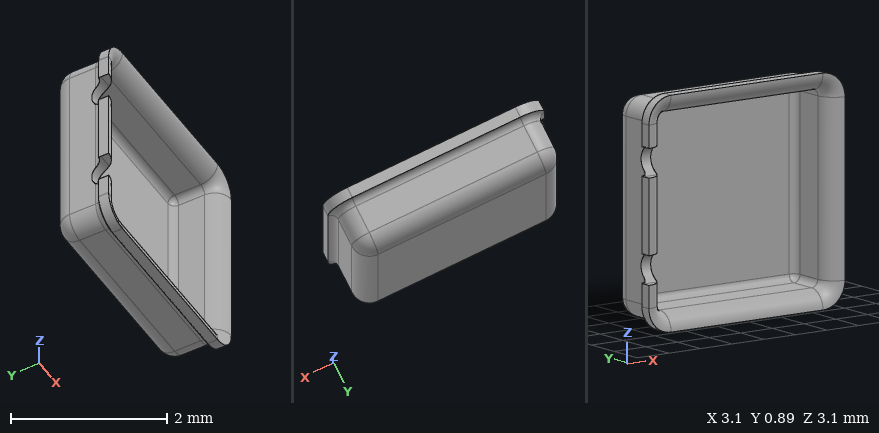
import cadquery as cq
import math

side = 3.1
depth = 0.89
sheet = 0.152
inner_bend = 0.1
notch_width = 0.388
notch_depth = 0.31
notch_offset = 0.7

outer_bend = inner_bend + sheet
rim_radius = outer_bend + inner_bend
half_flat = side / 2 - rim_radius
flat = 2 * half_flat


def arc_middle(center_x, center_y, radius, angle):
    """Point on a circle, used as the middle of a quarter arc."""
    a = math.radians(angle)
    return (center_x + radius * math.cos(a), center_y + radius * math.sin(a))


def wall_profile():
    """Wall section in XY: X is the distance out from the flat floor, Y runs from rim to floor."""
    floor_bend_y = depth - outer_bend
    return (
        cq.Workplane("XY")
        .moveTo(0, depth)
        .lineTo(0, depth - sheet)
        .threePointArc(arc_middle(0, floor_bend_y, inner_bend, 45), (inner_bend, floor_bend_y))
        .lineTo(inner_bend, outer_bend)
        .threePointArc(arc_middle(rim_radius, outer_bend, outer_bend, 225), (rim_radius, 0))
        .lineTo(rim_radius, sheet)
        .threePointArc(arc_middle(rim_radius, outer_bend, inner_bend, 225), (outer_bend, outer_bend))
        .lineTo(outer_bend, floor_bend_y)
        .threePointArc(arc_middle(0, floor_bend_y, outer_bend, 45), (0, depth))
        .close()
    )


def wall_and_corner():
    """The +X wall and the +X, +Z corner that follows it."""
    wall = wall_profile().extrude(flat).translate((half_flat, 0, -half_flat))
    corner = (
        wall_profile()
        .revolve(90, (0, 0, 0), (0, -1, 0))
        .translate((half_flat, 0, half_flat))
    )
    return wall.union(corner)


def notch(z):
    """Round-ended notch cutter through the -X wall."""
    radius = notch_width / 2
    end_y = notch_depth - radius
    return (
        cq.Workplane("YZ", origin=(-side / 2, 0, z))
        .moveTo(0, -radius)
        .lineTo(end_y, -radius)
        .threePointArc((notch_depth, 0), (end_y, radius))
        .lineTo(0, radius)
        .close()
        .extrude(rim_radius)
    )


tray = cq.Workplane("XY").box(flat, sheet, flat).translate((0, depth - sheet / 2, 0))
section = wall_and_corner()
for turn in range(4):
    tray = tray.union(section.rotate((0, 0, 0), (0, 1, 0), 90 * turn))

for direction in (-1, 1):
    tray = tray.cut(notch(direction * notch_offset))

result = tray